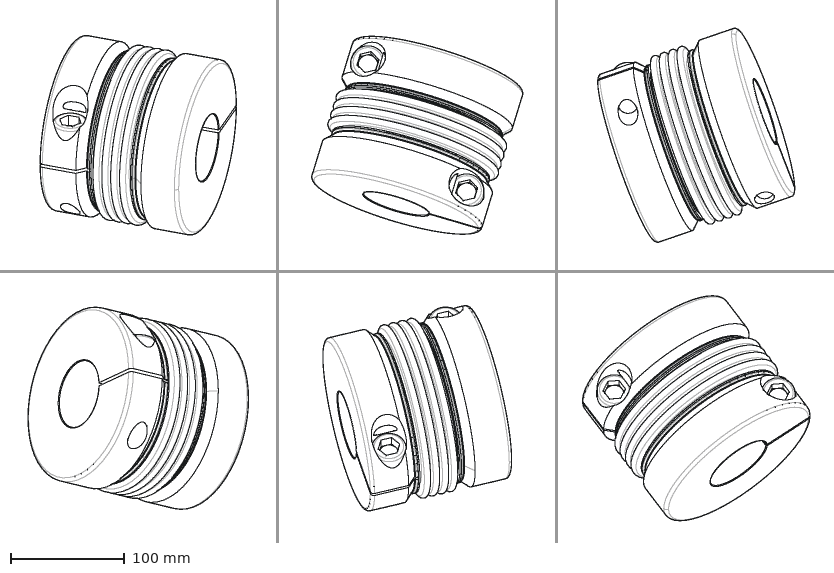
import cadquery as cq
import math

length = 129.49
outer_radius = 157 / 2
half_length = length / 2

bore_radius = 60 / 2
bore_chamfer = 0.75
rim_fillet = 3.0
hub_length = 45.0
cone_start = 34.3
cone_drop = 7.4
lip_radius = 145 / 2
lip_width = 2.4
lip_round = 1.3

slit_width = 3.0

collar_radius = 144.6 / 2
collar_width = 1.4
step_radius = 67.4
wave_count = 4
wave_pitch = 8.3
crest_round = 2.8
root_round = wave_pitch / 2 - crest_round
root_radius = 65.2

screw_inset = 22.0
screw_offset = 58.2
shank_radius = 20 / 2
clearance_radius = 21 / 2
thread_radius = 17.29 / 2
head_radius = 30 / 2
head_height = 20.0
head_fillet = 2.0
head_top = 38.5
head_seat = head_top - head_height
counterbore_radius = 31 / 2
shank_end = -30.0
socket_flats = 17.0
socket_depth = 10.0
socket_tip_angle = 120.0

pin_radius = 8 / 2
pin_length = 24.0
pin_offset = 43.0
pin_height = 45.0

first_crest = -wave_pitch * (wave_count - 1) / 2
bellows_start = first_crest - crest_round - 2 * root_round
screw_x = screw_inset - half_length


def z_cylinder(radius, bottom, top):
    """Cylinder on the screw axis between two heights."""
    base = cq.Workplane("XY", origin=(screw_x, -screw_offset, bottom))
    return base.circle(radius).extrude(top - bottom)


def round_corner(profile, radius, x, y):
    """Line up to a convex quarter arc that rounds the corner at (x, y) toward +X."""
    inset = radius * (1 - math.sqrt(0.5))
    return profile.lineTo(x, y - radius).threePointArc((x + inset, y - inset), (x + radius, y))


def left_end():
    """Left hub and bellows collar, up to the first root of the bellows."""
    hub_end = hub_length - half_length
    cone_x = cone_start - half_length
    groove_radius = outer_radius - cone_drop
    lip_start = hub_end - lip_width
    collar_end = hub_end + collar_width

    profile = cq.Workplane("XY").moveTo(-half_length, bore_radius + bore_chamfer)
    profile = round_corner(profile, rim_fillet, -half_length, outer_radius)
    profile = profile.lineTo(cone_x, outer_radius).lineTo(cone_x + cone_drop, groove_radius)
    profile = profile.lineTo(lip_start, groove_radius)
    profile = round_corner(profile, lip_round, lip_start, lip_radius)
    profile = profile.lineTo(hub_end, lip_radius).lineTo(hub_end, collar_radius)
    profile = profile.lineTo(collar_end, collar_radius).lineTo(collar_end, step_radius)
    profile = profile.lineTo(bellows_start, step_radius).lineTo(bellows_start, bore_radius)
    profile = profile.lineTo(bore_chamfer - half_length, bore_radius).close()
    return profile.revolve(360, (0, 0, 0), (1, 0, 0))


def bellows():
    """Waves between the collars: semicircular roots and crests joined by flat walls."""
    crest_center_radius = outer_radius - crest_round
    root_center_radius = root_radius + root_round

    profile = cq.Workplane("XY").moveTo(bellows_start, bore_radius)
    profile = profile.lineTo(bellows_start, root_center_radius)
    for index in range(wave_count):
        crest_x = first_crest + index * wave_pitch
        wall_in = crest_x - crest_round
        wall_out = crest_x + crest_round
        profile = (
            profile.threePointArc((wall_in - root_round, root_radius), (wall_in, root_center_radius))
            .lineTo(wall_in, crest_center_radius)
            .threePointArc((crest_x, outer_radius), (wall_out, crest_center_radius))
            .lineTo(wall_out, root_center_radius)
        )
    last_root = -bellows_start - root_round
    profile = profile.threePointArc((last_root, root_radius), (-bellows_start, root_center_radius))
    profile = profile.lineTo(-bellows_start, bore_radius).close()
    return profile.revolve(360, (0, 0, 0), (1, 0, 0))


def clamp_cuts():
    """Slit and stepped screw hole of the left hub, the slit opening toward -Y."""
    slit = cq.Workplane("XY").box(hub_length, outer_radius, slit_width, centered=(False, False, True))
    slit = slit.translate((-half_length, -outer_radius, 0))
    counterbore = z_cylinder(counterbore_radius, head_seat, outer_radius)
    clearance = z_cylinder(clearance_radius, 0, head_seat)
    thread = z_cylinder(thread_radius, -outer_radius, 0)
    return slit.union(counterbore).union(clearance).union(thread)


def screw():
    """Socket head cap screw with a conical socket bottom."""
    head = z_cylinder(head_radius, head_seat, head_top).faces(">Z").edges().fillet(head_fillet)
    shank = z_cylinder(shank_radius, shank_end, head_seat)

    socket_corners = socket_flats / math.cos(math.radians(30))
    socket_floor = head_top - socket_depth
    socket_top = cq.Workplane("XY", origin=(screw_x, -screw_offset, head_top))
    socket = socket_top.polygon(6, socket_corners).extrude(-socket_depth)
    tip_depth = socket_flats / 2 / math.tan(math.radians(socket_tip_angle / 2))
    tip = cq.Solid.makeCone(
        0,
        socket_flats / 2,
        tip_depth,
        pnt=cq.Vector(screw_x, -screw_offset, socket_floor - tip_depth),
    )
    return head.union(shank).cut(socket).cut(cq.Workplane(tip))


def stop_pin():
    """Pin bedded in the inner wall of the counterbore, above the screw head."""
    base = cq.Workplane("YZ", origin=(screw_x, -pin_offset, pin_height))
    return base.circle(pin_radius).extrude(pin_length / 2, both=True)


def turned(shape):
    """The same shape for the right hub, half a turn about Z."""
    return shape.rotate((0, 0, 0), (0, 0, 1), 180)


hub = left_end()
cuts = clamp_cuts()
fasteners = screw().union(stop_pin())

result = hub.union(bellows()).union(turned(hub))
result = result.cut(cuts).cut(turned(cuts))
result = result.union(fasteners).union(turned(fasteners))